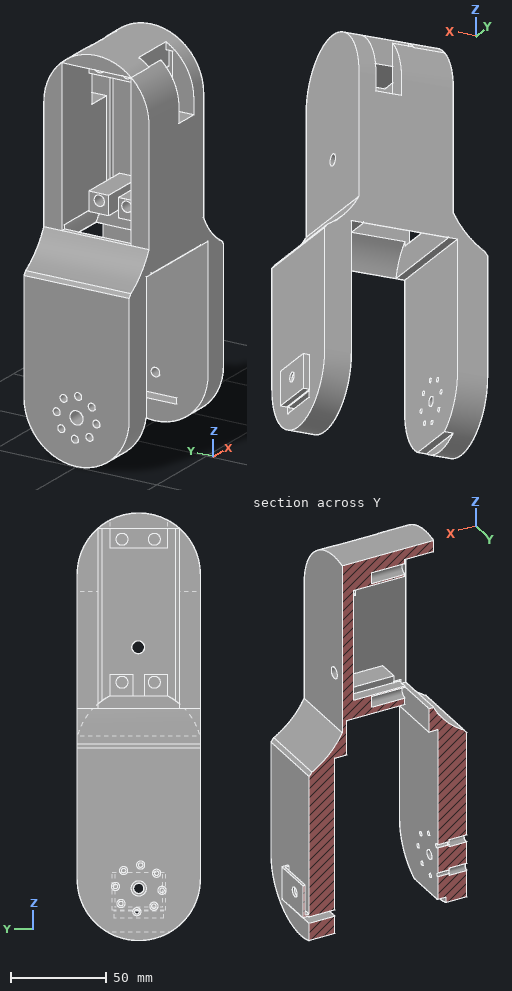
import cadquery as cq
import math

WIDTH = 65.0
END_RADIUS = WIDTH / 2
HEIGHT = 225.0
FORK_SPAN = 94.9
MID_X = FORK_SPAN / 2

NECK_SPAN = 55.0
NECK_LEFT = MID_X - NECK_SPAN / 2
NECK_RIGHT = MID_X + NECK_SPAN / 2
SHOULDER_TOP_Z = 122.2
SHOULDER_ARC_END = (3.0, 104.1)
SHOULDER_ARC_MID = (12.75, 112.05)
SHOULDER_LIP = (1.7, 103.4)
SHOULDER_BOTTOM_Z = 101.2

GAP_LEFT = 17.6
GAP_RIGHT = 79.3
GAP_TOP_Z = 107.7
RELIEF_WALL = 2.8
RELIEF_RISE = 24.7
RELIEF_HALF_CHORD = 32.2
RELIEF_RADIUS = (RELIEF_HALF_CHORD**2 + RELIEF_RISE**2) / (2 * RELIEF_RISE)

CAVITY_HALF_WIDTH = 21.3
CAVITY_ROOF_Z = 216.7
CAVITY_BACK = 65.0
POCKET_HALF_WIDTH = 19.25
POCKET_DEPTH = 3.0
CABLE_HOLE_DIAMETER = 6.6
CABLE_HOLE_Z = 154.3

POST_FRONT = 37.2
POST_HALF_SPAN = 15.25
POST_INNER_Y = 3.05
UPPER_POST_BOTTOM_Z = 206.5
LOWER_POST_BOTTOM_Z = 128.6
LOWER_POST_TOP_Z = 140.1
POST_HOLE_DIAMETER = 6.3
POST_HOLE_Y = 8.5
HOLE_OFFSET_Y = 0.3
POST_HOLE_DEPTH = 20.0
UPPER_POST_HOLE_Z = 211.1
LOWER_POST_HOLE_Z = 135.9

SLOT_LEFT = 50.1
ROOF_SLOT_LEFT = 37.9
SLOT_RIGHT = CAVITY_BACK
SLOT_BOTTOM_Z = 183.5

PIVOT_Z = 27.5
PIVOT_DIAMETER = 5.3
PIVOT_BORE_DIAMETER = 8.0
HORN_HOLE_COUNT = 8
HORN_CIRCLE_RADIUS = 12.3
HORN_TILT = 4.7
HORN_HOLE_DIAMETER = 2.35
HORN_BORE_DIAMETER = 4.3
BORE_DEPTH = 10.5
HORN_TRIM_X = 12.5
HORN_TRIM_Z = 4.5

BOX_DEPTH = 3.7
BOX_WIDTH = 28.0
BOX_BOTTOM_Z = 16.2
BOX_TOP_Z = 35.8
BOX_WALL = 1.4
SLIT_WIDTH = 26.0
SLIT_BOTTOM_Z = 12.0
SLIT_TOP_Z = 15.6


def block(x0, x1, y0, y1, z0, z1):
    """Box between two opposite corners."""
    return cq.Workplane("XY").box(x1 - x0, y1 - y0, z1 - z0, centered=False).translate((x0, y0, z0))


def rod(diameter, x0, x1, y, z):
    """Cylinder along X."""
    return cq.Workplane("YZ", origin=(x0, y, z)).circle(diameter / 2).extrude(x1 - x0)


def mirrored(point):
    """Point of the front outline reflected to the other side of the fork."""
    return (FORK_SPAN - point[0], point[1])


def make_body():
    """Front outline extruded over the width and trimmed to a shape with round ends."""
    front = (
        cq.Workplane("XZ")
        .moveTo(0, 0)
        .lineTo(0, SHOULDER_BOTTOM_Z)
        .lineTo(*SHOULDER_LIP)
        .lineTo(*SHOULDER_ARC_END)
        .threePointArc(SHOULDER_ARC_MID, (NECK_LEFT, SHOULDER_TOP_Z))
        .lineTo(NECK_LEFT, HEIGHT)
        .lineTo(NECK_RIGHT, HEIGHT)
        .lineTo(NECK_RIGHT, SHOULDER_TOP_Z)
        .threePointArc(mirrored(SHOULDER_ARC_MID), mirrored(SHOULDER_ARC_END))
        .lineTo(*mirrored(SHOULDER_LIP))
        .lineTo(FORK_SPAN, SHOULDER_BOTTOM_Z)
        .lineTo(FORK_SPAN, 0)
        .lineTo(GAP_RIGHT, 0)
        .lineTo(GAP_RIGHT, GAP_TOP_Z)
        .lineTo(GAP_LEFT, GAP_TOP_Z)
        .lineTo(GAP_LEFT, 0)
        .close()
        .extrude(END_RADIUS, both=True)
    )
    side = cq.Workplane("YZ", origin=(0, 0, HEIGHT / 2)).slot2D(HEIGHT, WIDTH, 90).extrude(FORK_SPAN)
    return front.intersect(side)


def cut_cavity(body):
    """Open the servo cavity and its back pocket, then the round relief below it."""
    cavity = block(0, CAVITY_BACK, -CAVITY_HALF_WIDTH, CAVITY_HALF_WIDTH, SHOULDER_TOP_Z, CAVITY_ROOF_Z)
    pocket = block(
        CAVITY_BACK,
        CAVITY_BACK + POCKET_DEPTH,
        -POCKET_HALF_WIDTH,
        POCKET_HALF_WIDTH,
        SHOULDER_TOP_Z,
        CAVITY_ROOF_Z,
    )
    relief_center_z = GAP_TOP_Z + RELIEF_RISE - RELIEF_RADIUS
    relief = rod(2 * RELIEF_RADIUS, NECK_LEFT + RELIEF_WALL, NECK_RIGHT - RELIEF_WALL, 0, relief_center_z)
    cable_hole = rod(CABLE_HOLE_DIAMETER, MID_X, NECK_RIGHT, HOLE_OFFSET_Y, CABLE_HOLE_Z)
    return body.cut(cavity).cut(pocket).cut(relief).cut(cable_hole)


def add_posts(body):
    """One wide post under the roof and two lower posts joined by a web in the back wall."""
    back = CAVITY_BACK + POCKET_DEPTH
    upper = block(POST_FRONT, back, -POST_HALF_SPAN, POST_HALF_SPAN, UPPER_POST_BOTTOM_Z, CAVITY_ROOF_Z)
    web = block(
        back,
        NECK_RIGHT - RELIEF_WALL,
        -POST_HALF_SPAN,
        POST_HALF_SPAN,
        LOWER_POST_BOTTOM_Z,
        LOWER_POST_TOP_Z,
    )
    body = body.union(upper).union(web)
    for y0 in (-POST_HALF_SPAN, POST_INNER_Y):
        y1 = y0 + POST_HALF_SPAN - POST_INNER_Y
        body = body.union(block(POST_FRONT, back, y0, y1, LOWER_POST_BOTTOM_Z, LOWER_POST_TOP_Z))
    for y in (HOLE_OFFSET_Y - POST_HOLE_Y, HOLE_OFFSET_Y + POST_HOLE_Y):
        for z in (LOWER_POST_HOLE_Z, UPPER_POST_HOLE_Z):
            body = body.cut(rod(POST_HOLE_DIAMETER, POST_FRONT, POST_FRONT + POST_HOLE_DEPTH, y, z))
    return body


def cut_side_slots(body):
    """Slot each side of the round top, with a narrower opening through the roof."""
    side_slot = block(SLOT_LEFT, SLOT_RIGHT, POST_HALF_SPAN, END_RADIUS, SLOT_BOTTOM_Z, HEIGHT)
    roof_slot = block(
        ROOF_SLOT_LEFT, SLOT_RIGHT, POST_HALF_SPAN, CAVITY_HALF_WIDTH, CAVITY_ROOF_Z, HEIGHT
    )
    slot = side_slot.union(roof_slot)
    return body.cut(slot).cut(slot.mirror("XZ"))


def counterbored(body, y, z, diameter, bore_diameter):
    """Hole through the horn arm, counterbored from its outer face."""
    hole = rod(diameter, 0, GAP_LEFT, y, z)
    bore = rod(bore_diameter, 0, BORE_DEPTH, y, z)
    return body.cut(hole).cut(bore)


def cut_horn_arm(body):
    """Pivot hole, ring of horn screw holes and the trimmed inner tip."""
    body = counterbored(body, 0, PIVOT_Z, PIVOT_DIAMETER, PIVOT_BORE_DIAMETER)
    for i in range(HORN_HOLE_COUNT):
        angle = math.radians(HORN_TILT + i * 360 / HORN_HOLE_COUNT)
        y = -HORN_CIRCLE_RADIUS * math.sin(angle)
        z = PIVOT_Z + HORN_CIRCLE_RADIUS * math.cos(angle)
        body = counterbored(body, y, z, HORN_HOLE_DIAMETER, HORN_BORE_DIAMETER)
    return body.cut(block(HORN_TRIM_X, GAP_LEFT, -END_RADIUS, END_RADIUS, 0, HORN_TRIM_Z))


def finish_plain_arm(body):
    """Open-topped cable box, pivot hole through arm and box, and the cable slit."""
    box_end = FORK_SPAN + BOX_DEPTH
    half = BOX_WIDTH / 2
    box = block(FORK_SPAN, box_end, -half, half, BOX_BOTTOM_Z, BOX_TOP_Z)
    inside = block(
        FORK_SPAN, box_end - BOX_WALL, BOX_WALL - half, half - BOX_WALL, BOX_BOTTOM_Z + BOX_WALL, BOX_TOP_Z
    )
    pivot = rod(PIVOT_DIAMETER, GAP_RIGHT, box_end, 0, PIVOT_Z)
    slit = block(GAP_RIGHT, FORK_SPAN, -SLIT_WIDTH / 2, SLIT_WIDTH / 2, SLIT_BOTTOM_Z, SLIT_TOP_Z)
    return body.union(box.cut(inside)).cut(pivot).cut(slit)


result = make_body()
result = cut_cavity(result)
result = add_posts(result)
result = cut_side_slots(result)
result = cut_horn_arm(result)
result = finish_plain_arm(result)